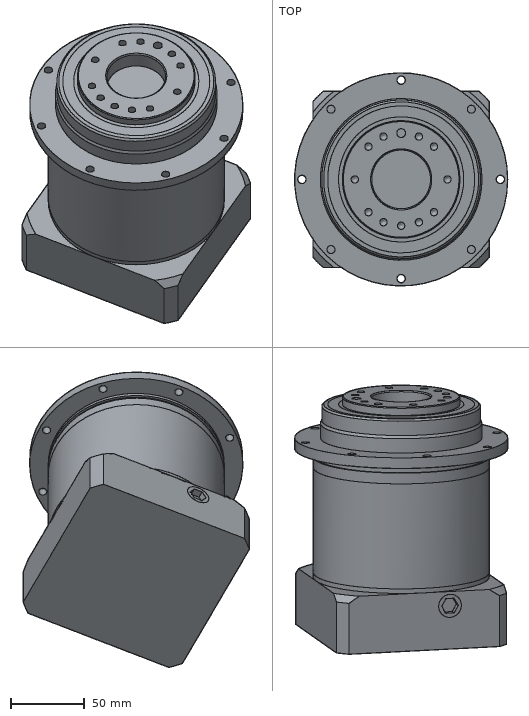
import cadquery as cq
import math


adapter_top = 40.0
gear_case_bottom = 43.0
housing_bottom = 115.8
groove_bottom = 123.3
groove_top = 126.4
flange_bottom = 128.9
flange_top = 136.3
pilot_top = 148.2
housing_top = 159.4
overall_height = 165.0

body_diameter = 120.0
adapter_width = body_diameter
corner_diameter = 160.0
corner_chamfer = 4.6

groove_diameter = 117.0
flange_diameter = 145.0
flange_hole_count = 8
flange_hole_circle = 135.0
flange_hole_diameter = 5.5
pilot_diameter = 110.0
pilot_lead_in_height = 2.0
collar_diameter = 108.0
collar_chamfer = 1.3

seal_outer_diameter = 100.0
seal_inner_diameter = 85.1
seal_height = 11.9

disc_diameter = 80.0
disc_chamfer = 0.7
bore_diameter = 40.0
bore_depth = 12.0
bore_chamfer = 0.8
output_hole_circle = 63.0
screw_hole_diameter = 5.0
screw_hole_depth = 11.5
screw_hole_tip_angle = 118
screw_hole_angles = [0, 45, 67.5, 112.5, 135, 180, 225, 247.5, 270, 292.5, 315]
dowel_hole_diameter = 6.0
dowel_hole_depth = 9.9
dowel_hole_angle = 90

plug_diameter = 16.0
plug_length = 9.9
plug_y = -18.2
plug_z = 30.0
socket_across_flats = 10.0
socket_depth = 5.0


def disc(diameter, bottom, top):
    """Solid cylinder on the Z axis between two levels."""
    return cq.Workplane("XY").workplane(offset=bottom).circle(diameter / 2).extrude(top - bottom)


def on_circle(circle_diameter, angle):
    """Point on a circle around the Z axis, at an angle in degrees from +X."""
    radius = circle_diameter / 2
    return (radius * math.cos(math.radians(angle)), radius * math.sin(math.radians(angle)))


def plug_cylinder():
    """Cylinder that the screw plug fills, flush with the -X side of the adapter."""
    side = cq.Workplane("YZ", origin=(-adapter_width / 2, plug_y, plug_z))
    return side.circle(plug_diameter / 2).extrude(plug_length)


def make_adapter():
    """Square block with turned corners, a low round boss and the hole for the plug."""
    block = cq.Workplane("XY").rect(adapter_width, adapter_width).extrude(adapter_top)
    turned = disc(corner_diameter, 0, adapter_top).faces(">Z").chamfer(corner_chamfer)
    boss = disc(body_diameter, adapter_top, gear_case_bottom)
    return block.intersect(turned).union(boss).cut(plug_cylinder())


def make_plug():
    """Plug with a hexagon socket whose upper and lower flats are level."""
    corner_circle = socket_across_flats / math.cos(math.radians(30))
    side = cq.Workplane("YZ", origin=(-adapter_width / 2, plug_y, plug_z))
    socket = side.polygon(6, corner_circle).extrude(socket_depth)
    return plug_cylinder().cut(socket)


def make_gear_case():
    """Plain round case between the adapter and the housing."""
    return disc(body_diameter, gear_case_bottom, housing_bottom)


def make_housing():
    """Turned housing with a groove, a drilled mounting flange and a pilot."""
    profile = [
        (0, housing_bottom),
        (body_diameter / 2, housing_bottom),
        (body_diameter / 2, groove_bottom),
        (groove_diameter / 2, groove_bottom),
        (groove_diameter / 2, groove_top),
        (body_diameter / 2, groove_top),
        (body_diameter / 2, flange_bottom),
        (flange_diameter / 2, flange_bottom),
        (flange_diameter / 2, flange_top),
        (pilot_diameter / 2, flange_top),
        (pilot_diameter / 2, pilot_top - pilot_lead_in_height),
        (collar_diameter / 2, pilot_top),
        (collar_diameter / 2, housing_top - collar_chamfer),
        (collar_diameter / 2 - collar_chamfer, housing_top),
        (0, housing_top),
    ]
    housing = cq.Workplane("XZ").polyline(profile).close().revolve(360, (0, 0), (0, 1))
    seal_seat = disc(seal_outer_diameter, housing_top - seal_height, housing_top)
    flange_holes = (
        cq.Workplane("XY")
        .workplane(offset=flange_bottom)
        .polarArray(flange_hole_circle / 2, 0, 360, flange_hole_count)
        .circle(flange_hole_diameter / 2)
        .extrude(flange_top - flange_bottom)
    )
    return housing.cut(seal_seat).cut(flange_holes)


def make_seal():
    """Flat ring that closes the gap between the housing and the output flange."""
    seal_bottom = housing_top - seal_height
    ring = disc(seal_outer_diameter, seal_bottom, housing_top)
    return ring.cut(disc(seal_inner_diameter, seal_bottom, housing_top))


def make_screw_hole(angle):
    """Blind drilled hole with a conical end."""
    radius = screw_hole_diameter / 2
    tip_height = radius / math.tan(math.radians(screw_hole_tip_angle / 2))
    profile = [
        (0, 0),
        (radius, 0),
        (radius, -screw_hole_depth),
        (0, -screw_hole_depth - tip_height),
    ]
    hole = cq.Workplane("XZ").polyline(profile).close().revolve(360, (0, 0), (0, 1))
    x, y = on_circle(output_hole_circle, angle)
    return hole.translate((x, y, overall_height))


def make_output_flange():
    """Stepped disc with a shallow bore, blind screw holes and one dowel hole."""
    hub = disc(seal_inner_diameter, housing_top - seal_height, housing_top)
    plate = disc(disc_diameter, housing_top, overall_height).faces(">Z").chamfer(disc_chamfer)
    bore = disc(bore_diameter, overall_height - bore_depth, overall_height)
    flange = hub.union(plate).cut(bore)
    bore_rim = cq.selectors.RadiusNthSelector(0)
    flange = flange.faces(">Z").edges(bore_rim).chamfer(bore_chamfer)
    for angle in screw_hole_angles:
        flange = flange.cut(make_screw_hole(angle))
    dowel_hole = disc(dowel_hole_diameter, overall_height - dowel_hole_depth, overall_height)
    return flange.cut(dowel_hole.translate(on_circle(output_hole_circle, dowel_hole_angle)))


adapter = make_adapter()
plug = make_plug()
gear_case = make_gear_case()
housing = make_housing()
seal = make_seal()
output_flange = make_output_flange()

result = cq.Compound.makeCompound(
    [
        adapter.val(),
        plug.val(),
        gear_case.val(),
        housing.val(),
        seal.val(),
        output_flange.val(),
    ]
)